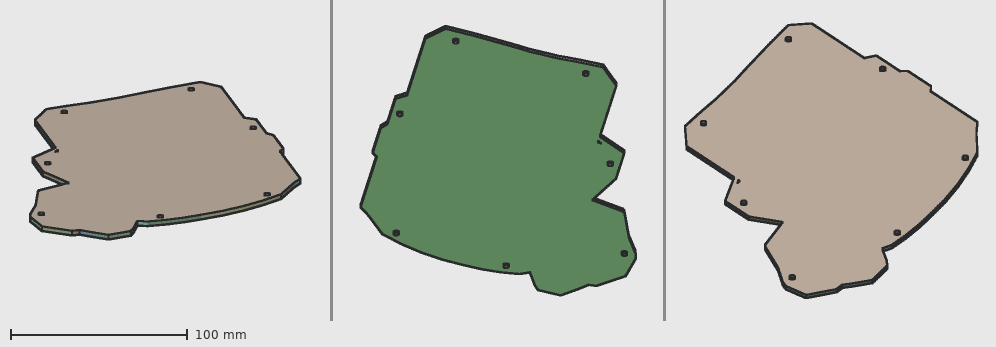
import cadquery as cq

WIDTH = 152.2
LENGTH = 162.0
THICKNESS = 3.0

LEFT = -WIDTH / 2
RIGHT = WIDTH / 2
FRONT = -LENGTH / 2
BACK = LENGTH / 2

BACK_LEFT_Y = 72.5
BACK_STEP_Y = 78.1
FRONT_LEFT_Y = -40.0
FRONT_TAB_Y = -56.2

STEP_LEFT_X = -24.0
STEP_RIGHT_X = -6.6

WAIST_X = -74.2
LOWER_LEFT_X = -75.4

HOLE_DIAMETER = 3.0
HOLE_CENTRES = [
    (-69.7, 55.5),
    (-68.7, -21.2),
    (-15.0, 73.1),
    (-15.0, -50.4),
    (61.3, 54.1),
    (65.5, -11.5),
    (39.9, -73.9),
]

SLIVER_CORNERS = [
    (-27.5, FRONT_LEFT_Y),
    (-26.9, FRONT_LEFT_Y),
    (-26.7, FRONT_LEFT_Y - 1.6),
]


def outline():
    """Closed outline, traced clockwise from the back-left corner."""
    path = cq.Workplane("XY").workplane(offset=-THICKNESS / 2)
    path = path.moveTo(LEFT, 63.2)

    path = path.lineTo(-66.8, BACK_LEFT_Y).lineTo(-28.0, BACK_LEFT_Y)
    path = path.lineTo(STEP_LEFT_X, BACK_STEP_Y).lineTo(STEP_RIGHT_X, BACK_STEP_Y)
    path = path.lineTo(-3.2, BACK).lineTo(14.0, BACK)
    path = path.lineTo(15.9, BACK_STEP_Y).lineTo(50.2, BACK_STEP_Y)
    path = path.lineTo(54.0, 72.8).lineTo(64.0, 61.6)

    path = path.threePointArc((70.0, 36.0), (71.5, 11.3))
    path = path.threePointArc((71.0, -4.7), (68.7, -20.5))
    path = path.lineTo(66.1, -25.6)

    path = path.lineTo(73.5, -30.6).lineTo(RIGHT, -33.0).lineTo(RIGHT, -46.5)
    path = path.lineTo(69.0, -55.5).lineTo(65.2, -60.0).lineTo(64.7, -64.3).lineTo(54.0, -78.6)
    path = path.lineTo(41.2, FRONT).lineTo(38.2, -80.0).lineTo(29.2, -73.5)
    path = path.lineTo(14.1, -66.8).lineTo(13.3, -65.6).lineTo(10.7, -47.0)

    path = path.lineTo(STEP_RIGHT_X, FRONT_TAB_Y).lineTo(STEP_LEFT_X, FRONT_TAB_Y)
    path = path.lineTo(-30.8, FRONT_LEFT_Y).lineTo(-65.6, FRONT_LEFT_Y)

    path = path.lineTo(-70.7, -34.5).lineTo(LOWER_LEFT_X, -29.7).lineTo(LOWER_LEFT_X, -28.7)
    path = path.lineTo(-75.0, -17.7).lineTo(-74.7, -11.3)
    path = path.lineTo(WAIST_X, -3.7).lineTo(WAIST_X, 13.3)
    path = path.lineTo(-74.7, 20.9).lineTo(-75.0, 27.2)
    path = path.lineTo(-75.5, 38.2).lineTo(-75.8, 45.5).lineTo(LEFT, 60.6)
    return path.close()


plate = outline().extrude(THICKNESS)

holes = (
    cq.Workplane("XY", origin=(0, 0, -THICKNESS / 2))
    .pushPoints(HOLE_CENTRES)
    .circle(HOLE_DIAMETER / 2)
    .extrude(THICKNESS)
)

sliver = (
    cq.Workplane("XY", origin=(0, 0, -THICKNESS / 2))
    .polyline(SLIVER_CORNERS)
    .close()
    .extrude(THICKNESS)
)

result = plate.cut(holes).cut(sliver)